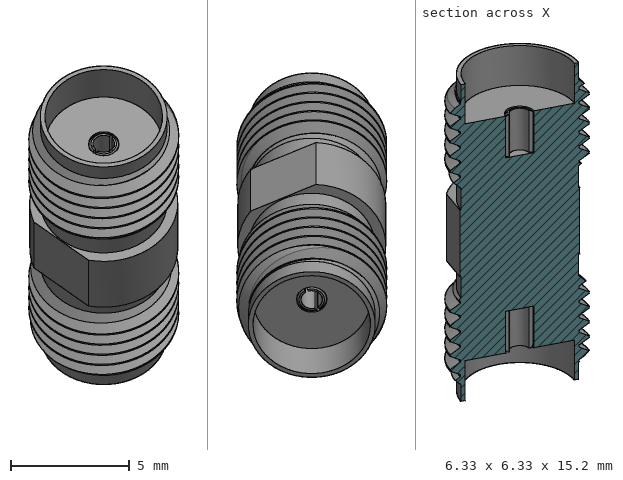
import cadquery as cq
import math


TOTAL_LENGTH = 15.2
HALF_LENGTH = TOTAL_LENGTH / 2
BARREL_RADIUS = 5.35 / 2

WRENCH_LENGTH = 3.2
WRENCH_DIAMETER = 6.25
WRENCH_FLATS = 5.45

THREAD_RADIUS = 6.33 / 2
PITCH = 25.4 / 36
CREST_FLAT = PITCH / 8
ROOT_FLAT = PITCH / 8
FLANK_ANGLE = 30
THREAD_DEPTH = (PITCH - CREST_FLAT - ROOT_FLAT) / 2 / math.tan(math.radians(FLANK_ANGLE))
ROOT_RADIUS = THREAD_RADIUS - THREAD_DEPTH
NECK_LENGTH = 1.01
THREAD_START = WRENCH_LENGTH / 2 + NECK_LENGTH
TIP_LENGTH = 0.8
THREAD_END = HALF_LENGTH - TIP_LENGTH
THREAD_CHAMFER = THREAD_RADIUS - BARREL_RADIUS
GROOVE_LEAD_IN = 0.31
GROOVE_TURNS = 6.5
GROOVE_START = THREAD_START - GROOVE_LEAD_IN
GROOVE_OVERSHOOT = 0.05

BORE_RADIUS = 4.95 / 2
BORE_DEPTH = 1.91
BORE_FLOOR = HALF_LENGTH - BORE_DEPTH
CONTACT_RADIUS = 1.27 / 2
CONTACT_CHAMFER = 0.1
CONTACT_HOLE_RADIUS = 0.9 / 2
CONTACT_DEPTH = 2.0
SLOT_WIDTH = 0.13


def make_wrench_section():
    """Round central section with two flats facing -Y and +Y."""
    round_section = cq.Workplane("XY").circle(WRENCH_DIAMETER / 2).extrude(WRENCH_LENGTH / 2, both=True)
    flats = cq.Workplane("XY").box(WRENCH_DIAMETER, WRENCH_FLATS, WRENCH_LENGTH)
    return round_section.intersect(flats)


def make_barrel():
    """Upper half barrel with the thread blank, both blank ends chamfered at 45 degrees."""
    return (
        cq.Workplane("XZ")
        .moveTo(0, 0)
        .lineTo(-BARREL_RADIUS, 0)
        .lineTo(-BARREL_RADIUS, THREAD_START)
        .lineTo(-THREAD_RADIUS, THREAD_START + THREAD_CHAMFER)
        .lineTo(-THREAD_RADIUS, THREAD_END - THREAD_CHAMFER)
        .lineTo(-BARREL_RADIUS, THREAD_END)
        .lineTo(-BARREL_RADIUS, HALF_LENGTH)
        .lineTo(0, HALF_LENGTH)
        .close()
        .revolve(360, (0, 0, 0), (0, 1, 0))
    )


def make_thread_groove():
    """Right-handed helical groove that runs out past both ends of the thread."""
    path = cq.Wire.makeHelix(PITCH, GROOVE_TURNS * PITCH, ROOT_RADIUS)
    half_root = ROOT_FLAT / 2
    mouth_radius = THREAD_RADIUS + GROOVE_OVERSHOOT
    half_mouth = half_root + (mouth_radius - ROOT_RADIUS) * math.tan(math.radians(FLANK_ANGLE))
    groove = (
        cq.Workplane("XZ")
        .moveTo(ROOT_RADIUS, -half_root)
        .lineTo(mouth_radius, -half_mouth)
        .lineTo(mouth_radius, half_mouth)
        .lineTo(ROOT_RADIUS, half_root)
        .close()
        .sweep(cq.Workplane(path), isFrenet=True)
    )
    return groove.translate((0, 0, GROOVE_START))


def make_bore():
    return cq.Workplane("XY").workplane(offset=BORE_FLOOR).circle(BORE_RADIUS).extrude(BORE_DEPTH)


def make_contact_end():
    """Chamfered end, flush with the bore floor, of the centre contact.

    It has a blind hole and a slot along Y through its wall.
    """
    end_plane = cq.Workplane("XY").workplane(offset=BORE_FLOOR)
    contact = end_plane.circle(CONTACT_RADIUS).extrude(-CONTACT_DEPTH)
    contact = contact.faces(">Z").chamfer(CONTACT_CHAMFER)
    hole = end_plane.circle(CONTACT_HOLE_RADIUS).extrude(-CONTACT_DEPTH)
    slot = end_plane.rect(SLOT_WIDTH, 2 * CONTACT_RADIUS).extrude(-CONTACT_DEPTH)
    return contact.cut(hole).cut(slot)


def make_contact_pocket():
    """Space in the bore floor that receives the contact end."""
    return (
        cq.Workplane("XY")
        .workplane(offset=BORE_FLOOR)
        .circle(CONTACT_RADIUS)
        .extrude(-CONTACT_DEPTH)
    )


def make_connector():
    """Complete upper connector, from the middle of the part to its end."""
    threaded = make_barrel().cut(make_thread_groove())
    return threaded.cut(make_bore()).cut(make_contact_pocket()).union(make_contact_end())


upper_connector = make_connector()
lower_connector = upper_connector.rotate((0, 0, 0), (1, 0, 0), 180)
result = make_wrench_section().union(upper_connector).union(lower_connector)